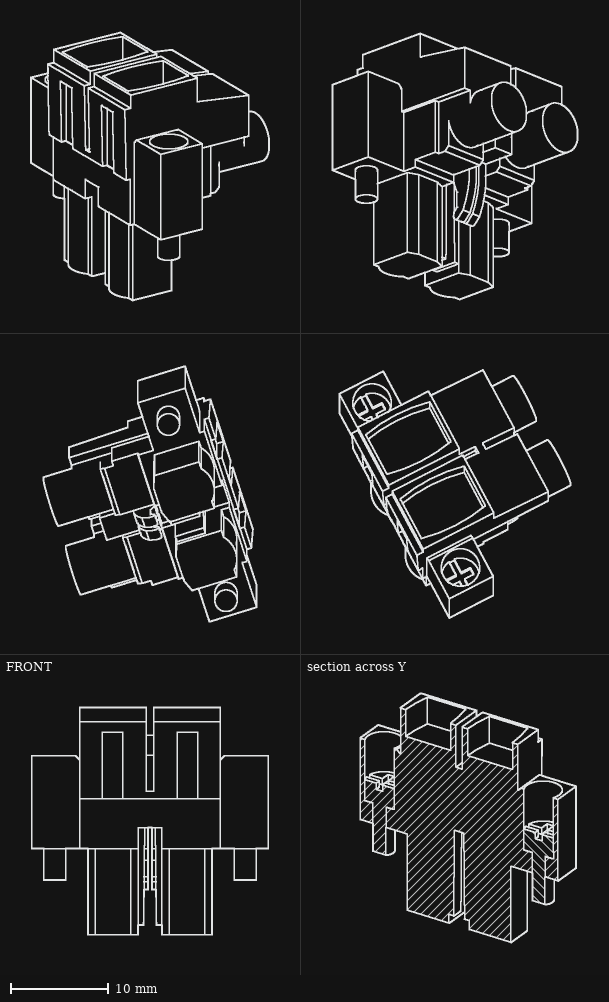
import cadquery as cq


HOUSING_WIDTH = 14.43
SHOULDER_WIDTH = 13.75
POLE_PITCH = 7.6
POLE_X = POLE_PITCH / 2
POLE_GAP = 0.73
PLUG_WIDTH = 5.15
CHANNEL_WIDTH = POLE_PITCH - PLUG_WIDTH

SKIRT_FRONT_Y = -3.05
UPPER_FRONT_Y = -3.0
LEDGE_TOP_Y = -3.72
LEDGE_BOTTOM_Y = -3.55
SKIRT_BACK_Y = 2.55
HEEL_Y = 4.2
TOWER_BACK_Y = 5.2
SHOULDER_BACK_Y = 7.02
BLOCK_BACK_Y = 8.43
HOUSING_BACK_Y = 11.52

SKIRT_BOTTOM_Z = 8.87
BLOCK_BOTTOM_Z = 9.7
CHANNEL_TOP_Z = 11.0
LEDGE_BOTTOM_Z = 14.0
OVERHANG_Z = 15.43
BACK_TOP_Z = 19.97
SLOPE_TOP_Z = 20.73
LEDGE_TOP_Z = 21.9
TOP_Z = 23.35

BRIDGE_BACK_Y = 7.87
WEB_BACK_Y = 10.13
GAP_STEP_Y = -2.3
GAP_FRONT_Z = 14.73
GAP_FLOOR_Z = 18.47

SLEEVE_DIAMETER = 5.27
SLEEVE_RADIUS = SLEEVE_DIAMETER / 2
SLEEVE_Z = 13.49
SLEEVE_END_Y = 14.55
SLEEVE_FLAT_HALF = (SLEEVE_RADIUS**2 - (PLUG_WIDTH / 2) ** 2) ** 0.5
BLOCK_CHAMFER = 0.49

PLUG_FRONT_Y = -2.2
PLUG_BACK_Y = 3.05
PLUG_CHAMFER_DEPTH = 0.49
PLUG_CHAMFER_WIDTH = 1.22
BULGE_WIDTH = 3.67
BULGE_RISE = 0.7
RIB_FRONT_Y = -0.49
RIB_BACK_Y = PLUG_BACK_Y - PLUG_CHAMFER_DEPTH
RIB_BOTTOM_Z = 1.02
RIB_TOP_THICKNESS = 0.68
RIB_TIP_THICKNESS = 0.58

POCKET_BACK_Y = 4.79
POCKET_FRONT_Y = -2.62
POCKET_END_WIDTH = 4.7
POCKET_MID_WIDTH = 5.52
POCKET_DEPTH = 3.1
WINDOW_WIDTH = 2.1
WINDOW_X = 3.85
WINDOW_TOP_Z = 20.8

FLANGE_END_X = 12.15
FLANGE_DEPTH = 2 * SKIRT_BACK_Y
FLANGE_TOP_Z = 18.4
FLANGE_CHAMFER = 0.41
SCREW_X = 9.77
HEAD_DIAMETER = 3.94
HEAD_SEAT_Z = 11.3
HEAD_HEIGHT = 2.43
SHAFT_DIAMETER = 2.28
SHAFT_BOTTOM_Z = 5.64
DRIVE_SLOT_WIDTH = 0.58
CROSS_SLOT_WIDTH = 0.78
CROSS_SLOT_LENGTH = 2.7
DRIVE_DEPTH = 0.73

HOOK_INNER_X = 0.2
HOOK_BACK_Y = 6.45
HOOK_NECK_Y = 4.7
HOOK_NECK_TOP_Z = 7.65
HOOK_NECK_BOTTOM_Z = 5.98
HOOK_BACK_START = (HOOK_BACK_Y, 8.5)
HOOK_BACK_MIDDLE = (6.12, 6.93)
HOOK_BACK_END = (5.56, 5.42)
HOOK_TIP_START = (4.9, 4.75)
HOOK_TIP_MIDDLE = (4.5, 4.67)
HOOK_TIP_END = (HEEL_Y, 5.13)
HOOK_BARB_TOP = (HEEL_Y, 5.45)

SIDES = (-1, 1)


def block(x0, x1, y0, y1, z0, z1):
    """Box between two corners given as pairs along each axis."""
    return cq.Workplane("XY").box(x1 - x0, y1 - y0, z1 - z0, centered=False).translate((x0, y0, z0))


def centred_block(width, y0, y1, z0, z1, x=0.0):
    """Box of the given width centred on x."""
    return block(x - width / 2, x + width / 2, y0, y1, z0, z1)


def side_profile(points, width, x=0.0):
    """Prism of a closed (Y, Z) outline, centred on x."""
    return cq.Workplane("YZ").polyline(points).close().extrude(width / 2, both=True).translate((x, 0, 0))


def mirrored(shape, side):
    """The shape as built for side 1, or its mirror image for side -1."""
    return shape if side > 0 else shape.mirror("YZ")


def make_shell():
    """Main housing: the stepped upper part and the front skirt."""
    outline = [
        (SKIRT_FRONT_Y, SKIRT_BOTTOM_Z),
        (SKIRT_FRONT_Y, LEDGE_BOTTOM_Z),
        (LEDGE_BOTTOM_Y, LEDGE_BOTTOM_Z),
        (LEDGE_TOP_Y, LEDGE_TOP_Z),
        (UPPER_FRONT_Y, LEDGE_TOP_Z),
        (UPPER_FRONT_Y, TOP_Z),
        (TOWER_BACK_Y, TOP_Z),
        (TOWER_BACK_Y, SLOPE_TOP_Z),
        (HOUSING_BACK_Y, BACK_TOP_Z),
        (HOUSING_BACK_Y, OVERHANG_Z),
        (SKIRT_BACK_Y, OVERHANG_Z),
        (SKIRT_BACK_Y, SKIRT_BOTTOM_Z),
    ]
    return side_profile(outline, HOUSING_WIDTH)


def make_shoulder():
    """Slightly narrower part behind the skirt, with a stepped underside."""
    outline = [
        (SKIRT_BACK_Y, SKIRT_BOTTOM_Z),
        (HEEL_Y, SKIRT_BOTTOM_Z),
        (HEEL_Y, BLOCK_BOTTOM_Z),
        (SHOULDER_BACK_Y, BLOCK_BOTTOM_Z),
        (SHOULDER_BACK_Y, OVERHANG_Z),
        (SKIRT_BACK_Y, OVERHANG_Z),
    ]
    return side_profile(outline, SHOULDER_WIDTH)


def make_wire_entry(x):
    """Block under the overhang and the round sleeve, whose sides are cut flush with the block."""
    flat_bottom_z = SLEEVE_Z - SLEEVE_FLAT_HALF
    outline = [
        (SHOULDER_BACK_Y, BLOCK_BOTTOM_Z),
        (BLOCK_BACK_Y - BLOCK_CHAMFER, BLOCK_BOTTOM_Z),
        (BLOCK_BACK_Y, BLOCK_BOTTOM_Z + BLOCK_CHAMFER),
        (BLOCK_BACK_Y, flat_bottom_z),
        (HOUSING_BACK_Y, flat_bottom_z),
        (HOUSING_BACK_Y, OVERHANG_Z),
        (SHOULDER_BACK_Y, OVERHANG_Z),
    ]
    sleeve = (
        cq.Workplane("XZ", origin=(x, SHOULDER_BACK_Y, SLEEVE_Z))
        .circle(SLEEVE_RADIUS)
        .extrude(SHOULDER_BACK_Y - SLEEVE_END_Y)
    )
    sleeve = sleeve.intersect(centred_block(PLUG_WIDTH, SHOULDER_BACK_Y, SLEEVE_END_Y, 0, TOP_Z, x))
    return side_profile(outline, PLUG_WIDTH, x).union(sleeve)


def make_plug(x):
    """Downward plug with a bulged front and chamfered back corners."""
    half = PLUG_WIDTH / 2
    bulge = BULGE_WIDTH / 2
    return (
        cq.Workplane("XY", origin=(x, 0, 0))
        .moveTo(-half, PLUG_FRONT_Y)
        .lineTo(-bulge, PLUG_FRONT_Y)
        .threePointArc((0, PLUG_FRONT_Y - BULGE_RISE), (bulge, PLUG_FRONT_Y))
        .lineTo(half, PLUG_FRONT_Y)
        .lineTo(half, PLUG_BACK_Y - PLUG_CHAMFER_DEPTH)
        .lineTo(half - PLUG_CHAMFER_WIDTH, PLUG_BACK_Y)
        .lineTo(PLUG_CHAMFER_WIDTH - half, PLUG_BACK_Y)
        .lineTo(-half, PLUG_BACK_Y - PLUG_CHAMFER_DEPTH)
        .close()
        .extrude(CHANNEL_TOP_Z)
    )


def make_rib(side):
    """Tapered rib on the inner side of a plug, reaching up to the channel roof."""
    wall_x = CHANNEL_WIDTH / 2
    outline = [
        (wall_x, RIB_BOTTOM_Z),
        (wall_x, CHANNEL_TOP_Z),
        (wall_x - RIB_TOP_THICKNESS, CHANNEL_TOP_Z),
        (wall_x - RIB_TIP_THICKNESS, RIB_BOTTOM_Z),
    ]
    rib = (
        cq.Workplane("XZ", origin=(0, RIB_FRONT_Y, 0))
        .polyline(outline)
        .close()
        .extrude(RIB_FRONT_Y - RIB_BACK_Y)
    )
    return mirrored(rib, side)


def make_flange(side):
    """Flange with a stepped screw hole and a chamfered inner top edge."""
    inner_x = HOUSING_WIDTH / 2
    half_depth = FLANGE_DEPTH / 2
    flange = block(inner_x, FLANGE_END_X, -half_depth, half_depth, SKIRT_BOTTOM_Z, FLANGE_TOP_Z)
    flange = flange.edges("<X and >Z").chamfer(FLANGE_CHAMFER)
    head_hole = (
        cq.Workplane("XY", origin=(SCREW_X, 0, HEAD_SEAT_Z))
        .circle(HEAD_DIAMETER / 2)
        .extrude(FLANGE_TOP_Z - HEAD_SEAT_Z)
    )
    shaft_hole = (
        cq.Workplane("XY", origin=(SCREW_X, 0, SKIRT_BOTTOM_Z))
        .circle(SHAFT_DIAMETER / 2)
        .extrude(HEAD_SEAT_Z - SKIRT_BOTTOM_Z)
    )
    return mirrored(flange.cut(head_hole).cut(shaft_hole), side)


def make_pocket(x):
    """Barrel-shaped pocket in the top of a pole."""
    half_end = POCKET_END_WIDTH / 2
    half_mid = POCKET_MID_WIDTH / 2
    mid_y = (POCKET_FRONT_Y + POCKET_BACK_Y) / 2
    return (
        cq.Workplane("XY", origin=(x, 0, TOP_Z - POCKET_DEPTH))
        .moveTo(-half_end, POCKET_FRONT_Y)
        .lineTo(half_end, POCKET_FRONT_Y)
        .threePointArc((half_mid, mid_y), (half_end, POCKET_BACK_Y))
        .lineTo(-half_end, POCKET_BACK_Y)
        .threePointArc((-half_mid, mid_y), (-half_end, POCKET_FRONT_Y))
        .close()
        .extrude(POCKET_DEPTH)
    )


def make_window(x):
    """Recess in the tilted front, back to the plane of the upper front face."""
    return centred_block(WINDOW_WIDTH, LEDGE_TOP_Y, UPPER_FRONT_Y, LEDGE_BOTTOM_Z, WINDOW_TOP_Z, x)


def make_pole_gap():
    """Slots that part the two poles in front of and behind the bridge."""
    front = centred_block(POLE_GAP, LEDGE_TOP_Y, GAP_STEP_Y, GAP_FRONT_Z, TOP_Z)
    middle = centred_block(POLE_GAP, GAP_STEP_Y, SHOULDER_BACK_Y, GAP_FLOOR_Z, TOP_Z)
    back = centred_block(POLE_GAP, BRIDGE_BACK_Y, HOUSING_BACK_Y, OVERHANG_Z, TOP_Z)
    return front.union(middle).union(back)


def make_housing():
    housing = make_shell().union(make_shoulder())
    channel = centred_block(CHANNEL_WIDTH, SKIRT_FRONT_Y, SHOULDER_BACK_Y, SKIRT_BOTTOM_Z, CHANNEL_TOP_Z)
    web = centred_block(CHANNEL_WIDTH, SHOULDER_BACK_Y, WEB_BACK_Y, CHANNEL_TOP_Z, OVERHANG_Z)
    housing = housing.cut(channel).union(web).cut(make_pole_gap())
    for side in SIDES:
        x = side * POLE_X
        housing = housing.union(make_wire_entry(x)).union(make_plug(x)).union(make_rib(side))
        housing = housing.union(make_flange(side))
        housing = housing.cut(make_pocket(x)).cut(make_window(side * WINDOW_X))
    return housing


def make_screw(side):
    """Flange screw with a straight slot crossed by a shorter one."""
    x = side * SCREW_X
    head_top_z = HEAD_SEAT_Z + HEAD_HEIGHT
    screw = (
        cq.Workplane("XY", origin=(x, 0, SHAFT_BOTTOM_Z))
        .circle(SHAFT_DIAMETER / 2)
        .extrude(HEAD_SEAT_Z - SHAFT_BOTTOM_Z)
        .faces(">Z")
        .workplane()
        .circle(HEAD_DIAMETER / 2)
        .extrude(HEAD_HEIGHT)
    )
    drive = (
        cq.Workplane("XY", origin=(x, 0, head_top_z - DRIVE_DEPTH))
        .rect(HEAD_DIAMETER, DRIVE_SLOT_WIDTH)
        .extrude(DRIVE_DEPTH)
        .union(
            cq.Workplane("XY", origin=(x, 0, head_top_z - DRIVE_DEPTH))
            .rect(CROSS_SLOT_WIDTH, CROSS_SLOT_LENGTH)
            .extrude(DRIVE_DEPTH)
        )
    )
    return screw.cut(drive)


def make_hook(side):
    """Latch hook hanging from the channel roof, against one channel wall."""
    hook = (
        cq.Workplane("YZ", origin=(HOOK_INNER_X, 0, 0))
        .moveTo(HEEL_Y, CHANNEL_TOP_Z)
        .lineTo(HOOK_BACK_Y, CHANNEL_TOP_Z)
        .lineTo(*HOOK_BACK_START)
        .threePointArc(HOOK_BACK_MIDDLE, HOOK_BACK_END)
        .lineTo(*HOOK_TIP_START)
        .threePointArc(HOOK_TIP_MIDDLE, HOOK_TIP_END)
        .lineTo(*HOOK_BARB_TOP)
        .lineTo(HOOK_NECK_Y, HOOK_NECK_BOTTOM_Z)
        .lineTo(HOOK_NECK_Y, HOOK_NECK_TOP_Z)
        .lineTo(HEEL_Y, SKIRT_BOTTOM_Z)
        .close()
        .extrude(CHANNEL_WIDTH / 2 - HOOK_INNER_X)
    )
    return mirrored(hook, side)


housing = make_housing()
screws = [make_screw(side).val() for side in SIDES]
hooks = [make_hook(side).val() for side in SIDES]

result = cq.Compound.makeCompound([housing.val(), *screws, *hooks])